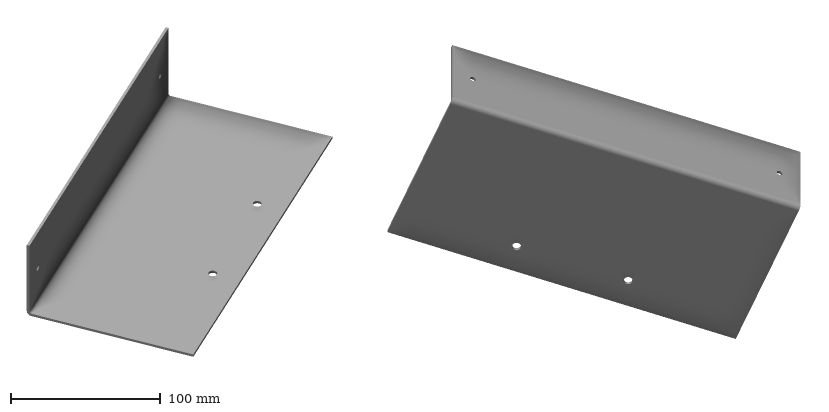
import cadquery as cq

base_width = 120.0
length = 250.0
wall_height = 60.0
thickness = 2.0
inner_bend_radius = 1.5
outer_bend_radius = inner_bend_radius + thickness

base_hole_diameter = 6.0
base_hole_edge_distance = 20.0
base_hole_spacing = 80.0

wall_hole_diameter = 4.2
wall_hole_height = wall_height / 2
wall_hole_spacing = 220.0


def bent_sheet():
    """L-shaped sheet, bent along Y, with its outer corner at X = Z = 0."""
    outer = cq.Workplane("XY").box(base_width, length, wall_height, centered=(False, True, False))
    outer = outer.edges("|Y and <X and <Z").fillet(outer_bend_radius)
    inner = (
        cq.Workplane("XY")
        .box(base_width, length, wall_height, centered=(False, True, False))
        .translate((thickness, 0, thickness))
        .edges("|Y and <X and <Z")
        .fillet(inner_bend_radius)
    )
    return outer.cut(inner)


def base_holes():
    """Vertical cutters through the base."""
    hole_x = base_width - base_hole_edge_distance
    half_spacing = base_hole_spacing / 2
    return (
        cq.Workplane("XY")
        .pushPoints([(hole_x, -half_spacing), (hole_x, half_spacing)])
        .circle(base_hole_diameter / 2)
        .extrude(thickness)
    )


def wall_holes():
    """Cutters along X through the upright wall."""
    half_spacing = wall_hole_spacing / 2
    return (
        cq.Workplane("YZ")
        .pushPoints([(-half_spacing, wall_hole_height), (half_spacing, wall_hole_height)])
        .circle(wall_hole_diameter / 2)
        .extrude(thickness)
    )


result = bent_sheet().cut(base_holes()).cut(wall_holes())